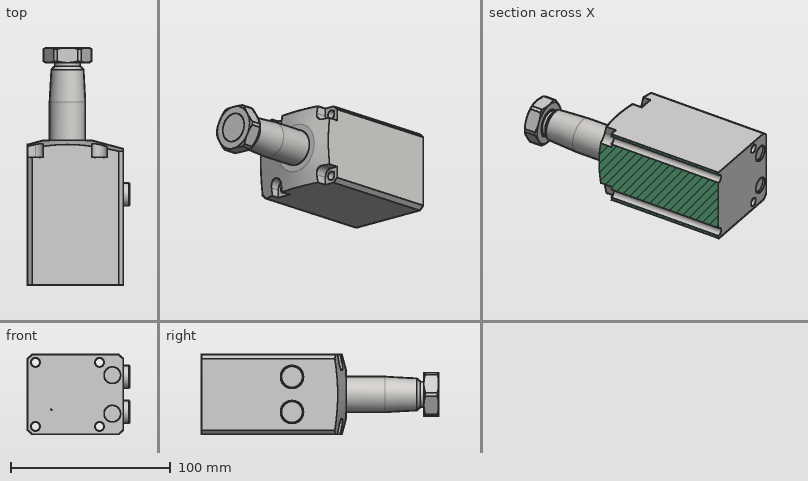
import cadquery as cq
import math

housing_height = 50.0
housing_width = 60.0
housing_length = 90.6
edge_chamfer_x = 3.0
edge_chamfer_z = 2.7
nose_radius = 15.3
nose_angle = 15

bolt_offset = 20.0
bolt_diameter = 5.5
bolt_pocket_radius = 4.9
bolt_seat_y = 79.9

port_x = 28.0
port_z = 12.0
port_diameter = 10.4
port_depth = 1.5

plug_diameter = 14.4
plug_height = 3.9
plug_chamfer = 0.6
plug_y = 56.7
plug_z = 11.0

rod_diameter = 22.5
rod_length = 24.0
taper_length = 20.2
taper_end_diameter = 20.3
shoulder_length = 2.2
neck_diameter = 16.0
neck_length = 2.2
nut_bore_diameter = 18.1

nut_sides = 6
nut_across_flats = 27.2
nut_corner_diameter = 30.1
nut_face_diameter = 27.3
nut_chamfer_angle = 30
overall_length = 148.5

housing_half = housing_height / 2
housing_left = -housing_half
housing_right = housing_left + housing_width
taper_start_y = housing_length + rod_length
shoulder_start_y = taper_start_y + taper_length
neck_start_y = shoulder_start_y + shoulder_length
nut_start_y = neck_start_y + neck_length
nut_height = overall_length - nut_start_y
rod_end_bevel = (nut_bore_diameter - neck_diameter) / 2


def cylinder_y(diameter, start_y, end_y, x=0.0, z=0.0):
    """Cylinder along Y between two Y positions."""
    return cq.Workplane(
        cq.Solid.makeCylinder(diameter / 2, end_y - start_y, cq.Vector(x, start_y, z), cq.Vector(0, 1, 0))
    )


def box_between(x_range, y_range, z_range):
    """Axis-aligned box given by its lower and upper limits."""
    lows, highs = zip(x_range, y_range, z_range)
    sizes = [high - low for low, high in zip(lows, highs)]
    return cq.Workplane("XY").box(*sizes, centered=False).translate(lows)


def turned_about_y(profile):
    """Solid of revolution about the Y axis from (radius, y) points."""
    return cq.Workplane("XY").polyline(profile).close().revolve(360, (0, 0), (0, 1))


def chamfered_block():
    """Block along Y with its four long edges bevelled."""
    inner_left = housing_left + edge_chamfer_x
    inner_right = housing_right - edge_chamfer_x
    inner_half = housing_half - edge_chamfer_z
    outline = [
        (inner_left, -housing_half),
        (inner_right, -housing_half),
        (housing_right, -inner_half),
        (housing_right, inner_half),
        (inner_right, housing_half),
        (inner_left, housing_half),
        (housing_left, inner_half),
        (housing_left, -inner_half),
    ]
    return cq.Workplane("XZ").polyline(outline).close().extrude(-housing_length)


def nose_envelope():
    """Turned shape whose conical end slopes the housing back around the nose disc."""
    reach = math.hypot(housing_right, housing_half)
    cone_drop = (reach - nose_radius) * math.tan(math.radians(nose_angle))
    return turned_about_y([
        (0, 0),
        (reach, 0),
        (reach, housing_length - cone_drop),
        (nose_radius, housing_length),
        (0, housing_length),
    ])


def bolt_pocket(x, side):
    """Round bolt head pocket, open to the +Z or -Z side of the housing and, at -X, to that side too."""
    y_range = (bolt_seat_y, housing_length)
    z_centre = side * bolt_offset
    z_open = sorted((z_centre, side * housing_half))
    pocket = cylinder_y(2 * bolt_pocket_radius, *y_range, x, z_centre)
    pocket = pocket.union(box_between((x - bolt_pocket_radius, x + bolt_pocket_radius), y_range, z_open))
    if x < 0:
        z_full = sorted((z_centre - side * bolt_pocket_radius, side * housing_half))
        pocket = pocket.union(box_between((housing_left, x), y_range, z_full))
    return pocket


def make_housing():
    housing = chamfered_block().intersect(nose_envelope())
    for side in (-1, 1):
        for x in (-bolt_offset, bolt_offset):
            housing = housing.cut(cylinder_y(bolt_diameter, 0, housing_length, x, side * bolt_offset))
            housing = housing.cut(bolt_pocket(x, side))
        housing = housing.cut(cylinder_y(port_diameter, 0, port_depth, port_x, side * port_z))
    return housing


def make_rod():
    """Rod with a taper, a relief neck and a plain end that fills the bore of the nut."""
    return turned_about_y([
        (0, housing_length),
        (rod_diameter / 2, housing_length),
        (rod_diameter / 2, taper_start_y),
        (taper_end_diameter / 2, shoulder_start_y),
        (neck_diameter / 2, neck_start_y),
        (neck_diameter / 2, nut_start_y),
        (nut_bore_diameter / 2, nut_start_y + rod_end_bevel),
        (nut_bore_diameter / 2, overall_length),
        (0, overall_length),
    ])


def make_nut():
    """Hex nut with flats facing +Z and -Z, rounded corners, chamfered faces and a plain bore."""
    sharp_corner_diameter = nut_across_flats / math.cos(math.pi / nut_sides)
    hexagon = (
        cq.Workplane("XZ", origin=(0, nut_start_y, 0))
        .polygon(nut_sides, sharp_corner_diameter)
        .extrude(-nut_height)
    )
    corner_radius = nut_corner_diameter / 2
    face_radius = nut_face_diameter / 2
    chamfer_drop = (corner_radius - face_radius) * math.tan(math.radians(nut_chamfer_angle))
    envelope = turned_about_y([
        (0, nut_start_y),
        (face_radius, nut_start_y),
        (corner_radius, nut_start_y + chamfer_drop),
        (corner_radius, overall_length - chamfer_drop),
        (face_radius, overall_length),
        (0, overall_length),
    ])
    return hexagon.intersect(envelope).cut(cylinder_y(nut_bore_diameter, nut_start_y, overall_length))


def make_plug(z):
    """Disc seated on the +X side of the housing, chamfered at its outer rim."""
    return (
        cq.Workplane("YZ", origin=(housing_right, plug_y, z))
        .circle(plug_diameter / 2)
        .extrude(plug_height)
        .faces(">X")
        .chamfer(plug_chamfer)
    )


housing = make_housing()
rod = make_rod()
nut = make_nut()
plugs = [make_plug(side * plug_z) for side in (-1, 1)]

result = cq.Compound.makeCompound([housing.val(), rod.val(), nut.val(), *[plug.val() for plug in plugs]])